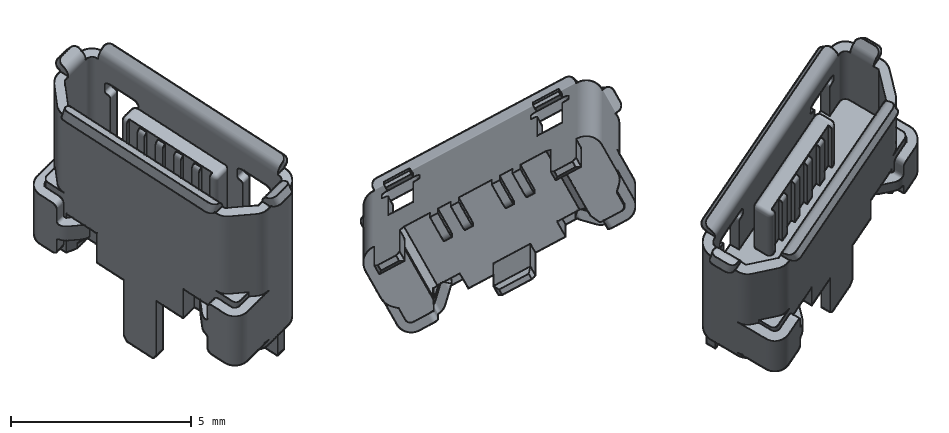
import cadquery as cq
import math

TOTAL_WIDTH = 7.99
TOTAL_DEPTH = 3.01
TOTAL_HEIGHT = 9.01
SHEET = 0.3
SHELL_WIDTH = 7.5
SHELL_DEPTH = 2.415
SHELL_BOTTOM = 2.3
HALF_WIDTH = SHELL_WIDTH / 2
HALF_DEPTH = SHELL_DEPTH / 2
INNER_X = HALF_WIDTH - SHEET
INNER_Y = HALF_DEPTH - SHEET
BEND_RADIUS = 0.505
FRONT_CUT = 0.83
FRONT_CUT_ANGLE = math.radians(45)

FLARE_ANGLE = math.radians(60)
FLARE_INNER_RADIUS = 0.05
FLARE_OVERHANG = (TOTAL_WIDTH - SHELL_WIDTH) / 2
FLAP_CORNER = 0.2
BACK_FLAP_WIDTH = 6.4
FRONT_FLAP_WIDTH = 5.39
SIDE_FLAP_WIDTH = 0.77
SIDE_FLAP_Y = 0.3

FLARE_OUTER_RADIUS = FLARE_INNER_RADIUS + SHEET
FLARE_STRAIGHT = (
    FLARE_OVERHANG - FLARE_INNER_RADIUS * (1 - math.cos(FLARE_ANGLE))
) / math.sin(FLARE_ANGLE)
FLARE_RISE = (
    FLARE_OUTER_RADIUS * math.sin(FLARE_ANGLE) + FLARE_STRAIGHT * math.cos(FLARE_ANGLE)
)
SHELL_TOP = TOTAL_HEIGHT - FLARE_RISE

BLOCK_TOP = 5.0
BLOCK_CORNER = 0.16
ARCH_TOP = 2.75
ARCH_HALF_WIDTH = 2.49
ARCH_CHAMFER = 0.23

RECESS_TOP = 4.1
RECESS_INNER_X = 1.54
RECESS_FLOOR_X = 2.4
RECESS_OUTER_X = 2.63
RECESS_DEPTH = 0.5

CLIP_BOTTOM = 2.51
CLIP_TOP = 4.79
CLIP_OFFSET = TOTAL_DEPTH - SHELL_DEPTH - FLARE_OVERHANG
CLIP_RADIUS = 0.46
CLIP_START_Y = 0.0
CLIP_END_X = 2.685
CLIP_CORNER = 0.17
TAB_BOTTOM = 3.29
TAB_TOP = 3.95
TAB_BEND_END_X = 2.4
TAB_TIP_X = 1.955
TAB_ANGLE = math.radians(45)
TAB_CORNER = 0.15
TAB_ROOT_FILLET = 0.11

WINDOW_X = 2.36
WINDOW_HEAD_WIDTH = 1.2
WINDOW_SLOT_WIDTH = 0.79
WINDOW_TOP = 7.75
WINDOW_SHOULDER = 7.21
WINDOW_FILLET = 0.18
SHOULDER_FILLET = 0.1
LUG_WIDTH = 0.81
LUG_TOP = 8.12
LUG_REACH = 0.225
LUG_SLOPE = math.radians(33)
LUG_SIDE = 0.27
LUG_TOE_WIDTH = 0.1
LUG_TOE_DROP = 0.05

TONGUE_WIDTH = 3.39
TONGUE_FRONT = 0.04
TONGUE_BACK = 0.65
TONGUE_TOP = 8.02
TONGUE_FILLET = 0.14
TONGUE_RIB = 0.22
CHANNEL_DEPTH = 0.12
CONTACT_PITCH = 0.65
CONTACT_COUNT = 4
CONTACT_WIDTH = 0.25
CONTACT_DROP = 0.08

TAIL_WIDTH = 0.25
TAIL_X = (-1.31, -0.65, 0.65, 1.31)
TAIL_FRONT = 0.37
TAIL_BOTTOM = 2.26
TAIL_RADIUS = 0.22

FRONT_LEG_WIDTH = 1.17
BACK_LEG_WIDTH = 0.81
BACK_LEG_X = 2.79
LEG_TIP_HEIGHT = 0.21
LEG_TIP_INSET = 0.12


PICK_MARGIN = 0.01


def box(x0, x1, y0, y1, z0, z1):
    return cq.Workplane("XY").box(x1 - x0, y1 - y0, z1 - z0, centered=False).translate((x0, y0, z0))


def mirrored(solid):
    return solid.union(solid.mirror("YZ"))


def shell_outline():
    """Solid outer body with rounded back corners and bent 45-degree front corners."""
    cut_x = HALF_WIDTH - FRONT_CUT
    cut_y = FRONT_CUT - HALF_DEPTH
    points = [
        (-HALF_WIDTH, HALF_DEPTH),
        (HALF_WIDTH, HALF_DEPTH),
        (HALF_WIDTH, cut_y),
        (cut_x, -HALF_DEPTH),
        (-cut_x, -HALF_DEPTH),
        (-HALF_WIDTH, cut_y),
    ]
    height = SHELL_TOP - SHELL_BOTTOM
    outer = cq.Workplane("XY").workplane(offset=SHELL_BOTTOM).polyline(points).close().extrude(height)
    return outer.edges("|Z").fillet(BEND_RADIUS)


def cavity():
    """Mouth of the shell; its front corners stay sharp."""
    corner_shift = SHEET * math.tan(FRONT_CUT_ANGLE / 2)
    cut_x = HALF_WIDTH - FRONT_CUT - corner_shift
    cut_y = FRONT_CUT - HALF_DEPTH + corner_shift
    points = [
        (-INNER_X, INNER_Y),
        (INNER_X, INNER_Y),
        (INNER_X, cut_y),
        (cut_x, -INNER_Y),
        (-cut_x, -INNER_Y),
        (-INNER_X, cut_y),
    ]
    height = SHELL_TOP - BLOCK_TOP
    mouth = cq.Workplane("XY").workplane(offset=BLOCK_TOP).polyline(points).close().extrude(height)
    return mouth.edges("|Z and >Y").fillet(BEND_RADIUS - SHEET)


def flap(width, wall, turn, shift=0.0):
    """Flared flap leaving a wall at distance `wall`, turned `turn` degrees about Z from +X."""
    sin_a, cos_a = math.sin(FLARE_ANGLE), math.cos(FLARE_ANGLE)
    sin_h, cos_h = math.sin(FLARE_ANGLE / 2), math.cos(FLARE_ANGLE / 2)
    centre = wall + FLARE_INNER_RADIUS

    def on_bend(radius, sin_t, cos_t):
        return (centre - radius * cos_t, SHELL_TOP + radius * sin_t)

    upper_end = on_bend(FLARE_OUTER_RADIUS, sin_a, cos_a)
    lower_end = on_bend(FLARE_INNER_RADIUS, sin_a, cos_a)
    run, rise = FLARE_STRAIGHT * sin_a, FLARE_STRAIGHT * cos_a
    solid = (
        cq.Workplane("XZ")
        .moveTo(wall - SHEET, SHELL_TOP)
        .threePointArc(on_bend(FLARE_OUTER_RADIUS, sin_h, cos_h), upper_end)
        .lineTo(upper_end[0] + run, upper_end[1] + rise)
        .lineTo(lower_end[0] + run, lower_end[1] + rise)
        .lineTo(*lower_end)
        .threePointArc(on_bend(FLARE_INNER_RADIUS, sin_h, cos_h), (wall, SHELL_TOP))
        .close()
        .extrude(width / 2, both=True)
    )
    sheet_normal = cq.Vector(-cos_a, 0, sin_a)
    solid = solid.edges(cq.selectors.ParallelDirSelector(sheet_normal)).fillet(FLAP_CORNER)
    return solid.rotate((0, 0, 0), (0, 0, 1), turn).translate((0, shift, 0))


def insulator_block():
    block = box(-INNER_X, INNER_X, -HALF_DEPTH, INNER_Y, SHELL_BOTTOM, BLOCK_TOP)
    return block.edges("|Z and <Y").fillet(BLOCK_CORNER)


def arch():
    """Clearance across the bottom, running from front to back."""
    opening = box(
        -ARCH_HALF_WIDTH, ARCH_HALF_WIDTH, -HALF_DEPTH, HALF_DEPTH, SHELL_BOTTOM, ARCH_TOP
    )
    return opening.edges("|Y and >Z").chamfer(ARCH_CHAMFER)


def tab_recess():
    floor_y = RECESS_DEPTH - HALF_DEPTH
    return (
        cq.Workplane("XY")
        .workplane(offset=SHELL_BOTTOM)
        .moveTo(RECESS_INNER_X, -HALF_DEPTH)
        .lineTo(RECESS_INNER_X, floor_y)
        .lineTo(RECESS_FLOOR_X, floor_y)
        .lineTo(RECESS_OUTER_X, -HALF_DEPTH)
        .close()
        .extrude(RECESS_TOP - SHELL_BOTTOM)
    )


def clip():
    """Side wall folded round the front corner, ending in a tab bent into the recess."""
    front = -HALF_DEPTH - CLIP_OFFSET
    sin_t, cos_t = math.sin(TAB_ANGLE), math.cos(TAB_ANGLE)
    outer_bend = (CLIP_END_X - TAB_BEND_END_X) / sin_t
    inner_bend = outer_bend - SHEET
    bend_y = front + outer_bend
    slant = (TAB_BEND_END_X - TAB_TIP_X) / cos_t

    def on_bend(radius, angle):
        return (CLIP_END_X - radius * math.sin(angle), bend_y - radius * math.cos(angle))

    outer_end = on_bend(outer_bend, TAB_ANGLE)
    inner_end = on_bend(inner_bend, TAB_ANGLE)
    run, rise = slant * cos_t, slant * sin_t
    inner_corner = CLIP_RADIUS - SHEET
    diagonal = math.sqrt(0.5)
    corner_x = HALF_WIDTH - CLIP_RADIUS
    corner_y = front + CLIP_RADIUS

    def on_corner(radius):
        return (corner_x + radius * diagonal, corner_y - radius * diagonal)

    sheet = (
        cq.Workplane("XY")
        .workplane(offset=CLIP_BOTTOM)
        .moveTo(HALF_WIDTH, CLIP_START_Y)
        .lineTo(HALF_WIDTH, corner_y)
        .threePointArc(on_corner(CLIP_RADIUS), (corner_x, front))
        .lineTo(CLIP_END_X, front)
        .threePointArc(on_bend(outer_bend, TAB_ANGLE / 2), outer_end)
        .lineTo(outer_end[0] - run, outer_end[1] + rise)
        .lineTo(inner_end[0] - run, inner_end[1] + rise)
        .lineTo(*inner_end)
        .threePointArc(on_bend(inner_bend, TAB_ANGLE / 2), (CLIP_END_X, front + SHEET))
        .lineTo(corner_x, front + SHEET)
        .threePointArc(on_corner(inner_corner), (HALF_WIDTH - SHEET, corner_y))
        .lineTo(HALF_WIDTH - SHEET, CLIP_START_Y)
        .close()
        .extrude(CLIP_TOP - CLIP_BOTTOM)
    )
    plate = box(CLIP_END_X, HALF_WIDTH, front, CLIP_START_Y, CLIP_BOTTOM, CLIP_TOP)
    plate = plate.edges("|Y and <X").fillet(CLIP_CORNER)
    tab = box(TAB_TIP_X, CLIP_END_X, front, CLIP_START_Y, TAB_BOTTOM, TAB_TOP)
    tab = tab.edges("|Y and <X").fillet(TAB_CORNER)
    face = plate.union(tab)
    root = cq.selectors.BoxSelector(
        (CLIP_END_X - PICK_MARGIN, front - PICK_MARGIN, TAB_BOTTOM - PICK_MARGIN),
        (CLIP_END_X + PICK_MARGIN, CLIP_START_Y + PICK_MARGIN, TAB_TOP + PICK_MARGIN),
    )
    face = face.edges("|Y").edges(root).fillet(TAB_ROOT_FILLET)
    return sheet.intersect(face)


def window():
    """T-shaped opening through the back wall."""
    half_head = WINDOW_HEAD_WIDTH / 2
    half_slot = WINDOW_SLOT_WIDTH / 2
    y0, y1 = INNER_Y, HALF_DEPTH
    head = box(WINDOW_X - half_head, WINDOW_X + half_head, y0, y1, WINDOW_SHOULDER, WINDOW_TOP)
    slot = box(WINDOW_X - half_slot, WINDOW_X + half_slot, y0, y1, BLOCK_TOP, WINDOW_TOP)
    opening = head.union(slot).edges("|Y and >Z").fillet(WINDOW_FILLET)
    shoulders = cq.selectors.BoxSelector(
        (WINDOW_X - half_head - PICK_MARGIN, y0 - PICK_MARGIN, WINDOW_SHOULDER - PICK_MARGIN),
        (WINDOW_X + half_head + PICK_MARGIN, y1 + PICK_MARGIN, WINDOW_SHOULDER + PICK_MARGIN),
    )
    return opening.edges("|Y").edges(shoulders).fillet(SHOULDER_FILLET)


def lug():
    """Strip turned outward and down from the wall above a window."""
    root_y = HALF_DEPTH - SHEET / 2
    tip_y = HALF_DEPTH + LUG_REACH
    tip_top = LUG_TOP - LUG_REACH * math.tan(LUG_SLOPE)
    tip_bottom = tip_top - LUG_SIDE
    return (
        cq.Workplane("YZ")
        .workplane(offset=WINDOW_X - LUG_WIDTH / 2)
        .moveTo(root_y, LUG_TOP)
        .lineTo(HALF_DEPTH, LUG_TOP)
        .lineTo(tip_y, tip_top)
        .lineTo(tip_y, tip_bottom)
        .lineTo(tip_y - LUG_TOE_WIDTH, tip_bottom - LUG_TOE_DROP)
        .lineTo(HALF_DEPTH, WINDOW_TOP)
        .lineTo(root_y, WINDOW_TOP)
        .close()
        .extrude(LUG_WIDTH)
    )


def tongue():
    half = TONGUE_WIDTH / 2
    body = box(-half, half, TONGUE_FRONT, TONGUE_BACK, BLOCK_TOP, TONGUE_TOP)
    body = body.edges("|Z or >Z").fillet(TONGUE_FILLET)
    channel_half = half - TONGUE_RIB
    channel_back = TONGUE_FRONT + CHANNEL_DEPTH
    body = body.cut(
        box(-channel_half, channel_half, TONGUE_FRONT, channel_back, BLOCK_TOP, TONGUE_TOP)
    )
    for i in range(CONTACT_COUNT):
        x0 = (i - (CONTACT_COUNT - 1) / 2) * CONTACT_PITCH - CONTACT_WIDTH / 2
        contact = box(
            x0, x0 + CONTACT_WIDTH, TONGUE_FRONT, TONGUE_BACK - TONGUE_FILLET,
            BLOCK_TOP, TONGUE_TOP - CONTACT_DROP,
        )
        body = body.union(contact.edges("|X and >Z and <Y").fillet(TONGUE_FILLET))
    return body


def contact_tail(x):
    tail = box(
        x - TAIL_WIDTH / 2, x + TAIL_WIDTH / 2, TAIL_FRONT, HALF_DEPTH, TAIL_BOTTOM, ARCH_TOP
    )
    return tail.edges("|X and <Y and <Z").fillet(TAIL_RADIUS)


def leg(x, width, inner_y, outer_y):
    """Flat leg with its tip tapered on both sides and on the face towards the shell centre."""
    half = width / 2
    taper_y = inner_y + math.copysign(LEG_TIP_INSET, outer_y - inner_y)
    front_outline = (
        cq.Workplane("XZ")
        .moveTo(x - half, ARCH_TOP)
        .lineTo(x - half, LEG_TIP_HEIGHT)
        .lineTo(x - half + LEG_TIP_INSET, 0)
        .lineTo(x + half - LEG_TIP_INSET, 0)
        .lineTo(x + half, LEG_TIP_HEIGHT)
        .lineTo(x + half, ARCH_TOP)
        .close()
        .extrude(HALF_DEPTH, both=True)
    )
    side_outline = (
        cq.Workplane("YZ")
        .moveTo(outer_y, ARCH_TOP)
        .lineTo(outer_y, 0)
        .lineTo(taper_y, 0)
        .lineTo(inner_y, LEG_TIP_HEIGHT)
        .lineTo(inner_y, ARCH_TOP)
        .close()
        .extrude(HALF_WIDTH, both=True)
    )
    return front_outline.intersect(side_outline)


result = shell_outline().cut(cavity()).union(insulator_block())
result = result.cut(arch()).cut(mirrored(tab_recess()))
result = result.cut(mirrored(window())).union(mirrored(lug()))
result = result.union(mirrored(clip()))
result = result.union(flap(BACK_FLAP_WIDTH, HALF_DEPTH, 90))
result = result.union(flap(FRONT_FLAP_WIDTH, HALF_DEPTH, -90))
result = result.union(mirrored(flap(SIDE_FLAP_WIDTH, HALF_WIDTH, 0, SIDE_FLAP_Y)))
result = result.union(tongue())
for tail_x in TAIL_X:
    result = result.union(contact_tail(tail_x))
result = result.union(leg(0, FRONT_LEG_WIDTH, -INNER_Y, -HALF_DEPTH))
result = result.union(mirrored(leg(BACK_LEG_X, BACK_LEG_WIDTH, INNER_Y, HALF_DEPTH)))